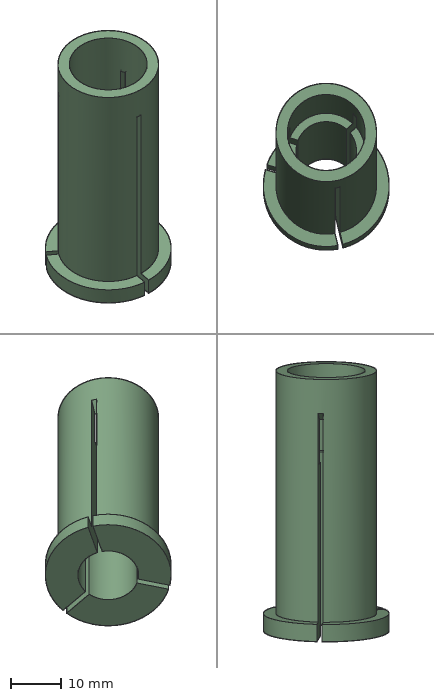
import cadquery as cq
import math

height = 52.5
flange_diameter = 25.0
flange_thickness = 3.5
tube_diameter = 20.0

wide_bore_diameter = 15.45
grip_bore_diameter = 12.0
grip_length = 35.0

slot_count = 3
slot_width = 1.0
slot_height = 45.7
slot_end_angle = 36.0
first_slot_angle = 90.0
slot_overrun = 0.5


def sleeve_body():
    """Flanged tube with its stepped bore."""
    flange = cq.Workplane("XY").circle(flange_diameter / 2).extrude(flange_thickness)
    tube = cq.Workplane("XY").circle(tube_diameter / 2).extrude(height)
    grip_bore = cq.Workplane("XY").circle(grip_bore_diameter / 2).extrude(height)
    wide_bore = (
        cq.Workplane("XY")
        .workplane(offset=grip_length)
        .circle(wide_bore_diameter / 2)
        .extrude(height - grip_length)
    )
    return flange.union(tube).cut(grip_bore).cut(wide_bore)


def finger_slot(angle):
    """Radial slot from the axis outwards, open at the flange face, its end sloping down to the bore."""
    reach = flange_diameter / 2 + slot_overrun
    slope = math.tan(math.radians(slot_end_angle))
    axis_height = slot_height - tube_diameter / 2 * slope
    tip_height = axis_height + reach * slope
    slot = (
        cq.Workplane("XZ")
        .polyline([(0, 0), (reach, 0), (reach, tip_height), (0, axis_height)])
        .close()
        .extrude(slot_width / 2, both=True)
    )
    return slot.rotate((0, 0, 0), (0, 0, 1), angle)


result = sleeve_body()
for index in range(slot_count):
    result = result.cut(finger_slot(first_slot_angle + index * 360 / slot_count))